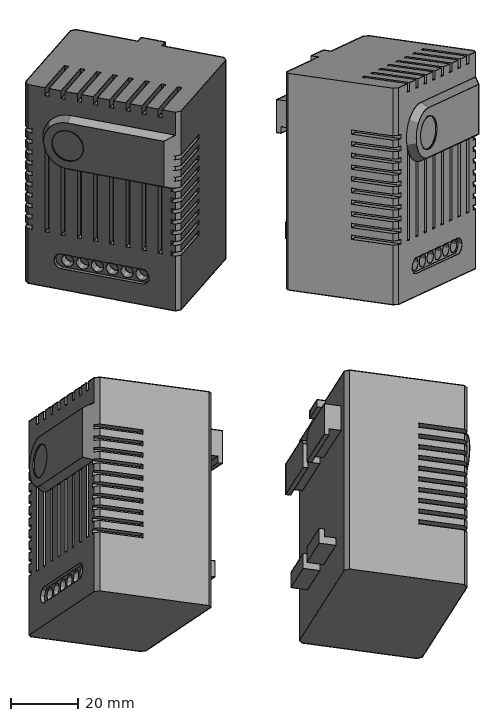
import cadquery as cq

WIDTH = 50.0
HEIGHT = 66.8
BODY_DEPTH = 38.2
EDGE_CHAMFER = 1.3

SLOT_WIDTH = 1.3
SLOT_DEPTH = 2.6
SLOT_REACH = 15.4
SLOT_BOTTOM = 18.4
FRONT_SLOT_COUNT = 8
FRONT_SLOT_PITCH = 5.2
FIRST_FRONT_SLOT_X = -18.2
SIDE_SLOT_COUNT = 10
SIDE_SLOT_PITCH = 3.6

PANEL_HEIGHT = 2.6
PANEL_RADIUS = 9.0
PANEL_CENTER_X = -9.9
PANEL_CENTER_Z = 50.1
PANEL_SIDE_INSET = 1.3
PANEL_END_INSET = PANEL_HEIGHT
PANEL_END_X = WIDTH / 2 - EDGE_CHAMFER
DIAL_DIAMETER = 10.1
DIAL_DEPTH = 0.4

RECESS_LENGTH = 30.5
RECESS_HEIGHT = 4.9
RECESS_DEPTH = 1.3
RECESS_Z = 9.45
HOLE_COUNT = 6
HOLE_DIAMETER = 3.9
HOLE_PITCH = 4.77
HOLE_CENTER_X = 0.5
HOLE_DEPTH = 3.0

MOUNT_DEPTH = 5.2
TAB_WIDTH = 7.8
TAB_DEPTH = 2.6
TAB_HEIGHT = 2.5
HOOK_OUTER_X = 20.4
HOOK_INNER_X = 2.0
HOOK_CHAMFER = 2.2
UPPER_HOOK_TOP = HEIGHT - 10.0
UPPER_HOOK_HEIGHT = 8.2
UPPER_LIP_DROP = 2.0
UPPER_LIP_THICKNESS = 1.5
LOWER_HOOK_OUTER_X = 15.0
LOWER_HOOK_BOTTOM = 12.7
LOWER_HOOK_HEIGHT = 2.5
LOWER_LIP_RISE = 2.5
LOWER_LIP_THICKNESS = 1.7


def block(x_range, y_range, z_range):
    """Box spanning the given (low, high) ranges."""
    spans = [high - low for low, high in (x_range, y_range, z_range)]
    corner = (x_range[0], y_range[0], z_range[0])
    return cq.Workplane("XY").box(*spans, centered=False).translate(corner)


def housing():
    body = block((-WIDTH / 2, WIDTH / 2), (0, BODY_DEPTH), (0, HEIGHT))
    return body.edges("|Z").chamfer(EDGE_CHAMFER)


def panel_outline(y, side_inset, end_inset):
    """Closed wire of the panel, rounded on the left, at depth y."""
    radius = PANEL_RADIUS - side_inset
    end_x = PANEL_END_X - end_inset
    top_z = PANEL_CENTER_Z + radius
    bottom_z = PANEL_CENTER_Z - radius
    return (
        cq.Workplane("XZ", origin=(0, y, 0))
        .moveTo(end_x, top_z)
        .lineTo(PANEL_CENTER_X, top_z)
        .threePointArc((PANEL_CENTER_X - radius, PANEL_CENTER_Z), (PANEL_CENTER_X, bottom_z))
        .lineTo(end_x, bottom_z)
        .close()
    )


def panel():
    base = panel_outline(0, 0, 0).val()
    top = panel_outline(-PANEL_HEIGHT, PANEL_SIDE_INSET, PANEL_END_INSET).val()
    dial = (
        cq.Workplane("XZ", origin=(PANEL_CENTER_X, -PANEL_HEIGHT, PANEL_CENTER_Z))
        .circle(DIAL_DIAMETER / 2)
        .extrude(-DIAL_DEPTH)
    )
    return cq.Workplane(cq.Solid.makeLoft([base, top], True)).cut(dial)


def front_slots():
    """Slots down the front face, stopping at the panel, and slots across the front of the top face."""
    slots = cq.Workplane()
    for index in range(FRONT_SLOT_COUNT):
        left = FIRST_FRONT_SLOT_X + index * FRONT_SLOT_PITCH
        x_range = (left, left + SLOT_WIDTH)
        slots = slots.add(block(x_range, (0, SLOT_DEPTH), (SLOT_BOTTOM, PANEL_CENTER_Z)))
        slots = slots.add(block(x_range, (0, SLOT_REACH), (HEIGHT - SLOT_DEPTH, HEIGHT)))
    panel_backing = panel_outline(0, 0, 0).extrude(-SLOT_DEPTH)
    return slots.combine().cut(panel_backing)


def side_slots():
    """Horizontal slots wrapping around both front corners."""
    slots = cq.Workplane()
    for index in range(SIDE_SLOT_COUNT):
        bottom = SLOT_BOTTOM + index * SIDE_SLOT_PITCH
        z_range = (bottom, bottom + SLOT_WIDTH)
        slots = slots.add(block((-WIDTH / 2, -WIDTH / 2 + SLOT_DEPTH), (0, SLOT_REACH), z_range))
        slots = slots.add(block((WIDTH / 2 - SLOT_DEPTH, WIDTH / 2), (0, SLOT_REACH), z_range))
    return slots.combine()


def terminal_recess():
    recess = (
        cq.Workplane("XZ", origin=(0, 0, RECESS_Z))
        .slot2D(RECESS_LENGTH, RECESS_HEIGHT)
        .extrude(-RECESS_DEPTH)
    )
    holes = (
        cq.Workplane("XZ", origin=(HOLE_CENTER_X, 0, RECESS_Z))
        .rarray(HOLE_PITCH, 1, HOLE_COUNT, 1)
        .circle(HOLE_DIAMETER / 2)
        .extrude(-(RECESS_DEPTH + HOLE_DEPTH))
    )
    return recess.union(holes)


def upper_hook():
    """Right upper hook: downward lip, chamfered on its upper inner corner."""
    back = BODY_DEPTH + MOUNT_DEPTH
    foot_bottom = UPPER_HOOK_TOP - UPPER_HOOK_HEIGHT
    lip_bottom = foot_bottom - UPPER_LIP_DROP
    plate = (
        cq.Workplane("XZ", origin=(0, BODY_DEPTH, 0))
        .polyline([
            (HOOK_OUTER_X, UPPER_HOOK_TOP),
            (HOOK_INNER_X + HOOK_CHAMFER, UPPER_HOOK_TOP),
            (HOOK_INNER_X, UPPER_HOOK_TOP - HOOK_CHAMFER),
            (HOOK_INNER_X, lip_bottom),
            (HOOK_OUTER_X, lip_bottom),
        ])
        .close()
        .extrude(-MOUNT_DEPTH)
    )
    rail_gap = block((0, HOOK_OUTER_X), (BODY_DEPTH, back - UPPER_LIP_THICKNESS), (lip_bottom, foot_bottom))
    return plate.cut(rail_gap)


def lower_hook():
    """Right lower hook: upward lip on a thin foot."""
    back = BODY_DEPTH + MOUNT_DEPTH
    foot_top = LOWER_HOOK_BOTTOM + LOWER_HOOK_HEIGHT
    x_range = (HOOK_INNER_X, LOWER_HOOK_OUTER_X)
    foot = block(x_range, (BODY_DEPTH, back), (LOWER_HOOK_BOTTOM, foot_top))
    lip = block(x_range, (back - LOWER_LIP_THICKNESS, back), (foot_top, foot_top + LOWER_LIP_RISE))
    return foot.union(lip)


def rail_mount():
    tab = block(
        (-TAB_WIDTH / 2, TAB_WIDTH / 2),
        (BODY_DEPTH, BODY_DEPTH + TAB_DEPTH),
        (HEIGHT - TAB_HEIGHT, HEIGHT),
    )
    mount = tab
    for hook in (upper_hook(), lower_hook()):
        mount = mount.union(hook).union(hook.mirror("YZ"))
    return mount


slotted_housing = housing().cut(front_slots()).cut(side_slots()).cut(terminal_recess())
result = slotted_housing.union(panel()).union(rail_mount())